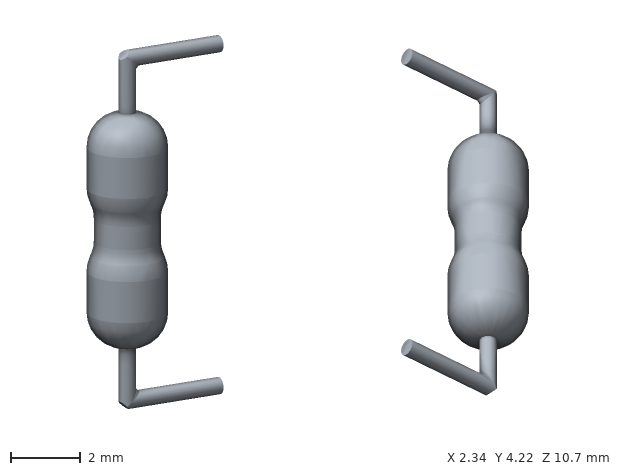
import cadquery as cq
import math

height = 10.69
depth = 4.22

body_radius = 1.171
waist_radius = 0.96
body_half_length = 3.5
dome_radius = 1.04
waist_half_length = 0.34
shoulder_start = 1.24

wire_radius = 0.25
corner_fill = 0.102

lead_z = height / 2 - wire_radius
lead_end_y = depth - body_radius


def make_body():
    """Round-ended barrel with a narrow waist."""
    dome_start = body_half_length - dome_radius
    flat_radius = body_radius - dome_radius
    dome_mid_r = flat_radius + dome_radius * math.sqrt(0.5)
    dome_mid_z = dome_start + dome_radius * math.sqrt(0.5)
    shoulder_mid_r = (body_radius + waist_radius) / 2
    shoulder_mid_z = (shoulder_start + waist_half_length) / 2

    profile = (
        cq.Workplane("XZ")
        .moveTo(0, -body_half_length)
        .lineTo(flat_radius, -body_half_length)
        .threePointArc((dome_mid_r, -dome_mid_z), (body_radius, -dome_start))
        .lineTo(body_radius, -shoulder_start)
        .tangentArcPoint((shoulder_mid_r, -shoulder_mid_z), relative=False)
        .tangentArcPoint((waist_radius, -waist_half_length), relative=False)
        .lineTo(waist_radius, waist_half_length)
        .tangentArcPoint((shoulder_mid_r, shoulder_mid_z), relative=False)
        .tangentArcPoint((body_radius, shoulder_start), relative=False)
        .lineTo(body_radius, dome_start)
        .threePointArc((dome_mid_r, dome_mid_z), (flat_radius, body_half_length))
        .lineTo(0, body_half_length)
        .close()
    )
    return profile.revolve(360, (0, 0, 0), (0, 1, 0))


def side_prism(points):
    """Extrude a YZ outline across the full wire width."""
    return cq.Workplane("YZ").polyline(points).close().extrude(wire_radius, both=True)


def make_corner_fill():
    """Tapered web in the inner corner, for a bend at the origin."""
    reach = wire_radius + corner_fill
    wedge = side_prism([(0, 0), (reach, -wire_radius), (wire_radius, -reach)])
    diagonal = cq.Plane(origin=(0, 0, 0), xDir=(1, 0, 0), normal=(0, 1, 1))
    web_depth = (reach + wire_radius) / math.sqrt(2)
    web = (
        cq.Workplane(diagonal)
        .ellipse(wire_radius, web_depth)
        .extrude(reach, both=True)
    )
    return wedge.intersect(web)


def make_top_lead():
    """Wire rising from the body and turning square towards +Y."""
    r = wire_radius
    upright = cq.Workplane("XY").workplane(offset=-lead_z).circle(r).extrude(lead_z + r)
    arm = cq.Workplane("XZ", origin=(0, -r, 0)).circle(r).extrude(-(lead_end_y + r))
    above_mitre = side_prism([(-r, r), (lead_end_y, r), (lead_end_y, -lead_end_y)])
    arm = arm.intersect(above_mitre)
    upright = upright.cut(above_mitre)
    bevel = side_prism([(0, r), (-r, r), (-r, 0)])
    lead = upright.union(arm).cut(bevel).union(make_corner_fill())
    return lead.translate((0, 0, lead_z))


top_lead = make_top_lead()
bottom_lead = top_lead.mirror("XY")
result = make_body().union(top_lead).union(bottom_lead)